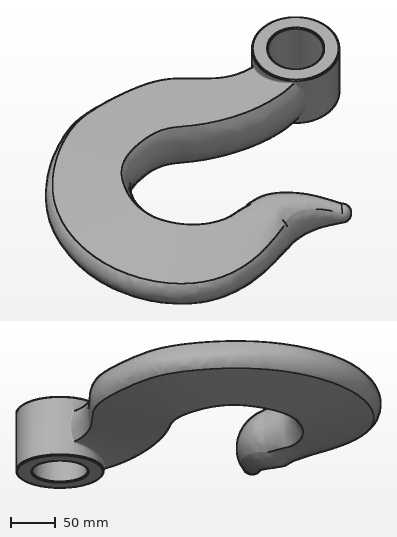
import cadquery as cq
import math


eye_y = 222.0
eye_radius = 49.5
eye_bore_radius = 31.0
eye_height = 71.5
eye_edge_chamfer = 1.5
eye_blend_radius = 2.0

shank_and_bowl = [
    ((30.5, 200.7), (-29.5, 200.7), 32.5, 19.0, 9.5, 4.5, 0.0),
    ((36.0, 179.0), (-41.0, 179.0), 31.5, 18.5, 11.0, 4.5, 0.0),
    ((29.0, 145.0), (-63.5, 152.5), 30.5, 17.0, 11.0, 5.2, 0.0),
    ((7.5, 101.5), (-108.2, 124.5), 29.5, 16.5, 11.0, 6.0, 0.0),
    ((-26.5, 63.0), (-140.5, 80.5), 29.5, 16.5, 11.0, 7.0, 0.0),
    ((-52.5, 39.0), (-158.0, 36.5), 29.5, 16.5, 11.0, 8.0, 0.0),
    ((-63.0, 0.0), (-163.0, 0.0), 29.5, 16.5, 11.0, 8.0, 0.0),
    ((-45.0, -46.3), (-123.5, -104.7), 29.5, 16.5, 11.0, 8.0, 0.0),
    ((0.0, -66.0), (0.0, -165.0), 29.5, 16.5, 11.0, 8.0, 0.0),
    ((46.3, -49.0), (103.5, -124.0), 29.5, 16.5, 11.0, 8.0, 0.5),
    ((63.0, -28.0), (133.5, -52.5), 29.0, 17.5, 10.0, 7.5, 4.0),
    ((69.5, 0.0), (135.7, 0.0), 26.0, 22.0, 11.5, 8.0, 9.5),
]
point_start = shank_and_bowl[-1]

point_rounds = [
    ((73.8, 21.5), (138.0, 18.5), 31.5),
    ((91.5, 44.5), (146.5, 36.0), 25.5),
    ((121.5, 62.5), (157.0, 47.0), 18.5),
]
tip_radius = 11.0
tip_center = (161.5, 64.5)
tip_angle = math.radians(-53)

least_bulge = 0.05

round_arc_share = 0.15
round_height_share = 2 * math.sqrt(round_arc_share * (1 - round_arc_share))


def section_wire(throat, back, throat_half, back_half, throat_depth, back_depth, bulge):
    """Closed upright section made of a throat arc, two flanks and a back arc."""
    width = math.dist(throat, back)
    along_x = (back[0] - throat[0]) / width
    along_y = (back[1] - throat[1]) / width

    def place(distance, height):
        return cq.Vector(throat[0] + along_x * distance, throat[1] + along_y * distance, height)

    def arc(start, middle, end):
        return cq.Edge.makeThreePointArc(place(*start), place(*middle), place(*end))

    back_edge = width - back_depth
    flank_middle = (throat_depth + back_edge) / 2
    flank_height = (throat_half + back_half) / 2 + bulge + least_bulge
    throat_top = (throat_depth, throat_half)
    throat_bottom = (throat_depth, -throat_half)
    back_top = (back_edge, back_half)
    back_bottom = (back_edge, -back_half)
    return cq.Wire.assembleEdges([
        arc(throat_bottom, (0, 0), throat_top),
        arc(throat_top, (flank_middle, flank_height), back_top),
        arc(back_top, (width, 0), back_bottom),
        arc(back_bottom, (flank_middle, -flank_height), throat_bottom),
    ])


def round_section(throat, back, half_thickness):
    """Values of a near-elliptical section for section_wire."""
    end_depth = round_arc_share * math.dist(throat, back)
    end_half = half_thickness * round_height_share
    return (throat, back, end_half, end_half, end_depth, end_depth, half_thickness - end_half)


def loft(sections):
    return cq.Workplane(obj=cq.Solid.makeLoft([section_wire(*values) for values in sections]))


def make_point():
    """Round point of the hook with a ball end."""
    reach_x = tip_radius * math.cos(tip_angle)
    reach_y = tip_radius * math.sin(tip_angle)
    tip_throat = (tip_center[0] - reach_x, tip_center[1] - reach_y)
    tip_back = (tip_center[0] + reach_x, tip_center[1] + reach_y)
    rounds = point_rounds + [(tip_throat, tip_back, tip_radius)]
    ball = cq.Workplane("XY").sphere(tip_radius).translate((*tip_center, 0))
    return loft([point_start] + [round_section(*values) for values in rounds]).union(ball)


def eye_cylinder(radius):
    base = cq.Workplane("XY", origin=(0, eye_y, -eye_height / 2))
    return base.circle(radius).extrude(eye_height)


hook = loft(shank_and_bowl).union(make_point())
eye = eye_cylinder(eye_radius).faces("|Z").edges().chamfer(eye_edge_chamfer)
result = hook.union(eye)

seam_half_height = eye_height / 2 - 2 * eye_edge_chamfer
seam_box = cq.selectors.BoxSelector(
    (-eye_radius, eye_y - eye_radius - eye_blend_radius, -seam_half_height),
    (eye_radius, eye_y - eye_bore_radius, seam_half_height),
)
result = result.edges(seam_box).fillet(eye_blend_radius)

result = result.cut(eye_cylinder(eye_bore_radius))
bore_rims = result.faces("<Z or >Z").edges(cq.selectors.RadiusNthSelector(0))
result = bore_rims.chamfer(eye_edge_chamfer)